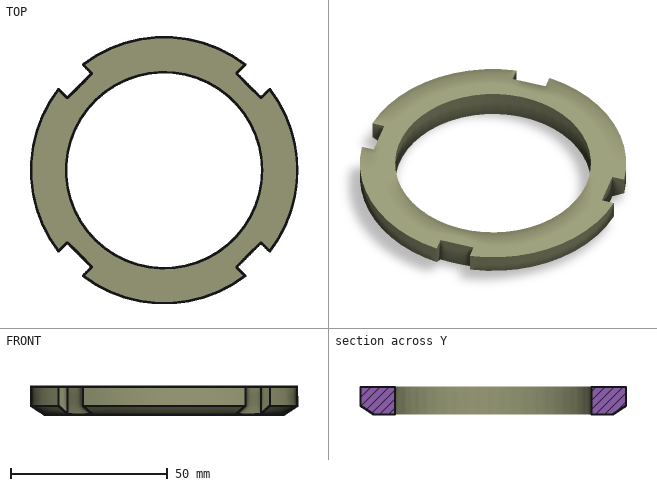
import cadquery as cq

outer_diameter = 85.0
bore_diameter = 62.5
thickness = 9.0

bevel_height = 2.9
bevel_width = 4.4

slot_count = 4
slot_width = 11.05
slot_floor_radius = 38.2
first_slot_angle = 45.0

outer_radius = outer_diameter / 2
bore_radius = bore_diameter / 2


def bevelled_ring():
    """Revolve the ring's half section about Z, with its lower face at Z = 0."""
    return (
        cq.Workplane("XZ")
        .moveTo(bore_radius, 0)
        .lineTo(outer_radius - bevel_width, 0)
        .lineTo(outer_radius, bevel_height)
        .lineTo(outer_radius, thickness)
        .lineTo(bore_radius, thickness)
        .close()
        .revolve(360, (0, 0, 0), (0, 1, 0))
    )


def slot_cutter(angle):
    """Full-height block reaching from the slot floor past the rim."""
    return (
        cq.Workplane("XY")
        .box(outer_radius, slot_width, thickness, centered=(False, True, False))
        .translate((slot_floor_radius, 0, 0))
        .rotate((0, 0, 0), (0, 0, 1), angle)
    )


result = bevelled_ring()
for index in range(slot_count):
    result = result.cut(slot_cutter(first_slot_angle + index * 360 / slot_count))